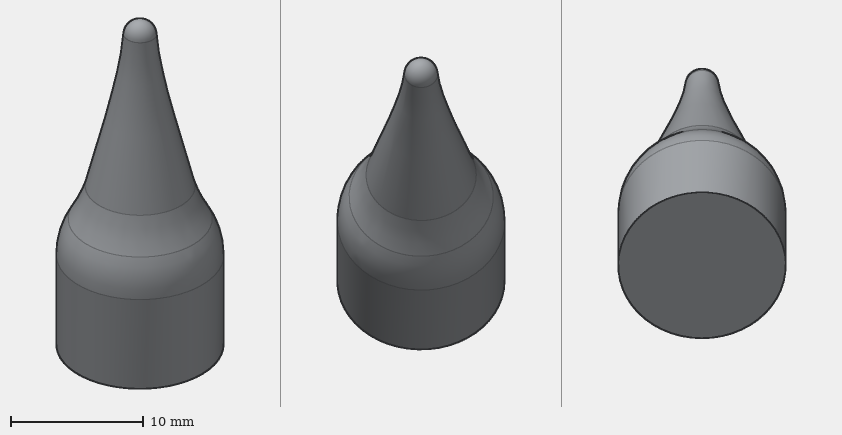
import cadquery as cq
import math

total_height = 29.0
body_radius = 6.35
body_height = 8.03
shoulder_top = 11.28
shoulder_arc_radius = 6.35
taper_start_height = 14.2
taper_start_radius = 4.18
tip_start_height = 27.85
tip_sphere_radius = 1.28
taper_twist = math.radians(60)
taper_steps = 12

shoulder_angle = math.asin((shoulder_top - body_height) / shoulder_arc_radius)
shoulder_center_radius = body_radius - shoulder_arc_radius


def shoulder_point(angle):
    """Point (radius, height) on the shoulder arc."""
    return (
        shoulder_center_radius + shoulder_arc_radius * math.cos(angle),
        body_height + shoulder_arc_radius * math.sin(angle),
    )


tip_center_height = total_height - tip_sphere_radius
tip_start_angle = math.asin((tip_start_height - tip_center_height) / tip_sphere_radius)
tip_start_radius = tip_sphere_radius * math.cos(tip_start_angle)
tip_mid_angle = (tip_start_angle + math.pi / 2) / 2
tip_mid_point = (
    tip_sphere_radius * math.cos(tip_mid_angle),
    tip_center_height + tip_sphere_radius * math.sin(tip_mid_angle),
)


def taper_point(fraction):
    """Point (radius, height) on the hyperbolic taper, swept by a straight line between twisted rings."""
    lower = (1 - fraction) * taper_start_radius
    upper = fraction * tip_start_radius
    radius = math.sqrt(lower**2 + upper**2 + 2 * lower * upper * math.cos(taper_twist))
    height = taper_start_height + fraction * (tip_start_height - taper_start_height)
    return (radius, height)


taper_points = [taper_point(step / taper_steps) for step in range(1, taper_steps + 1)]

profile = (
    cq.Workplane("XZ")
    .lineTo(body_radius, 0)
    .lineTo(body_radius, body_height)
    .threePointArc(shoulder_point(shoulder_angle / 2), shoulder_point(shoulder_angle))
    .tangentArcPoint((taper_start_radius, taper_start_height), relative=False)
    .spline(taper_points, includeCurrent=True)
    .threePointArc(tip_mid_point, (0, total_height))
    .close()
)

result = profile.revolve(360, (0, 0, 0), (0, 1, 0))